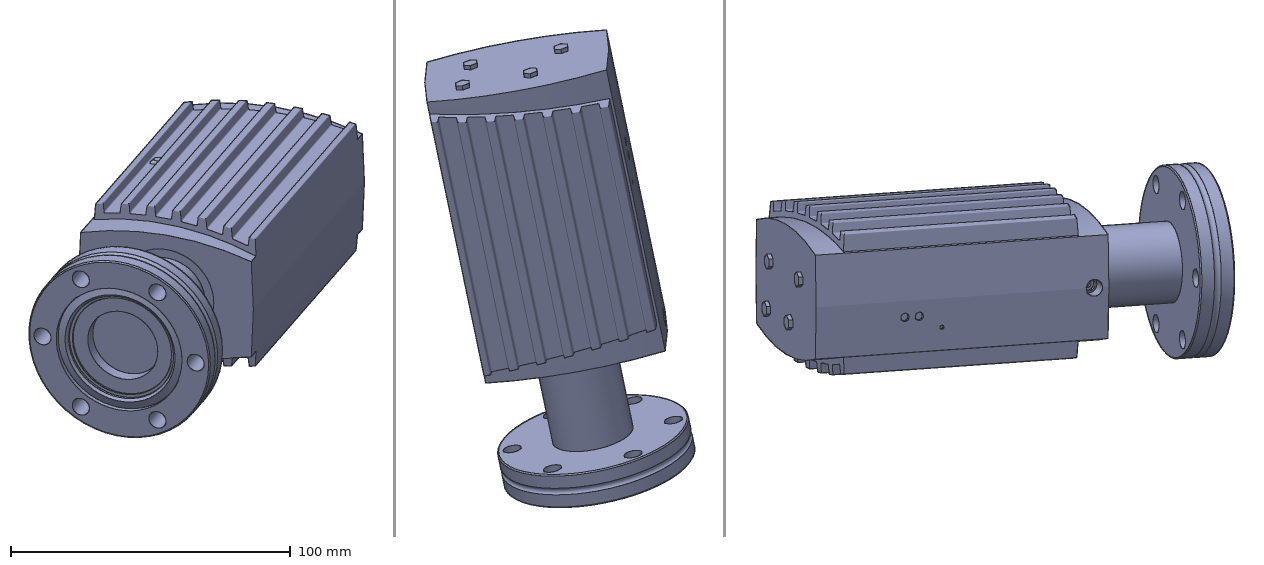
import cadquery as cq
import math


FLANGE_RADIUS = 34.8
FLANGE_THICKNESS = 13.0
FLANGE_EDGE = 0.5
GRIP_GROOVE_WIDTH = 2.5
GRIP_GROOVE_DEPTH = 0.6
BOLT_COUNT = 6
BOLT_HOLE_DIAMETER = 6.5
BOLT_CIRCLE_RADIUS = 29.3
GASKET_RADIUS = 24.1
GASKET_DEPTH = 1.9
KNIFE_RADIUS = 21.0
KNIFE_DEPTH = 1.0
KNIFE_FOOT_RADIUS = 20.1
KNIFE_FOOT_DEPTH = 1.9
STEP_DEPTH = 2.9
SEAT_RADIUS = 19.0
SEAT_DEPTH = 3.7
BORE_RADIUS = 13.4
BORE_DEPTH = 8.6
TUBE_RADIUS = 14.7

COLLAR_RADIUS = 18.0
COLLAR_DEPTH = 6.4

HOUSING_FRONT = 47.4
HOUSING_LENGTH = 110.5
HOUSING_MIDDLE = HOUSING_FRONT + HOUSING_LENGTH / 2
HOUSING_CENTRE_X = -0.3
HALF_WIDTH_MIDDLE = 33.5
HALF_WIDTH_CORNER = 32.7
CORNER_HEIGHT = 19.0
CROWN_HEIGHT = 23.8
CROWN_RISE = CROWN_HEIGHT - CORNER_HEIGHT
CROWN_RADIUS = (HALF_WIDTH_CORNER**2 + CROWN_RISE**2) / (2 * CROWN_RISE)
CROWN_CENTRE_Z = CROWN_HEIGHT - CROWN_RADIUS

FIN_COUNT = 7
FIN_PITCH = 10.2
FIN_CENTRE_X = 0.5
FIN_TOP_WIDTH = 3.0
CHANNEL_DRAFT = 0.5
FIN_HEIGHT = 5.9
FLOOR_HEIGHT = 2.0
CHANNEL_FILLET = 0.5
FIN_TOP_FILLET = 0.3
FIN_LEFT = -32.0
FIN_RIGHT = 32.4
FIN_PAD_DRAFT = 4
FIN_HALF_LENGTH_LEFT = 44.3
FIN_HALF_LENGTH_RIGHT = 50.5

BOSS_X = -24.7
BOSS_DIAMETER = 5.6
BOSS_TOP_DIAMETER = 2.9
BOSS_TOP_Z = 24.2
BOSS_CONE_HEIGHT = 1.5

SIDE_HOLE_Y = 52.8
SIDE_HOLE_STEPS = ((6.0, 6.4), (4.8, 8), (2.9, 9.5))
LAMP_HOLE_DIAMETER = 3.0
LAMP_HOLE_YS = (118.8, 124.3)
LAMP_HOLE_Z = -5.9
RESET_HOLE_DIAMETER = 1.5
RESET_HOLE_Y = 110.2
RESET_HOLE_Z = -10.5
SMALL_HOLE_DEPTH = 1.6

POST_ACROSS_FLATS = 4.8
POST_HEIGHT = 1.6
POST_PAIRS = ((-0.2, 33.0, 6.9), (6.9, 24.7, -11.0))


def make_flange_tube():
    """Knife-edge flange and its solid tube, turned as one piece, with the bolt holes cut."""
    groove_start = (FLANGE_THICKNESS - GRIP_GROOVE_WIDTH) / 2
    groove_end = groove_start + GRIP_GROOVE_WIDTH
    turned = (
        cq.Workplane("XY")
        .moveTo(0, BORE_DEPTH)
        .lineTo(BORE_RADIUS, BORE_DEPTH)
        .lineTo(BORE_RADIUS, SEAT_DEPTH)
        .lineTo(SEAT_RADIUS, SEAT_DEPTH)
        .lineTo(SEAT_RADIUS, STEP_DEPTH)
        .lineTo(KNIFE_FOOT_RADIUS, STEP_DEPTH)
        .lineTo(KNIFE_FOOT_RADIUS, KNIFE_FOOT_DEPTH)
        .lineTo(KNIFE_RADIUS, KNIFE_DEPTH)
        .lineTo(GASKET_RADIUS, GASKET_DEPTH)
        .lineTo(GASKET_RADIUS, 0)
        .lineTo(FLANGE_RADIUS - FLANGE_EDGE, 0)
        .lineTo(FLANGE_RADIUS, FLANGE_EDGE)
        .lineTo(FLANGE_RADIUS, groove_start)
        .threePointArc(
            (FLANGE_RADIUS - GRIP_GROOVE_DEPTH, FLANGE_THICKNESS / 2),
            (FLANGE_RADIUS, groove_end),
        )
        .lineTo(FLANGE_RADIUS, FLANGE_THICKNESS - FLANGE_EDGE)
        .lineTo(FLANGE_RADIUS - FLANGE_EDGE, FLANGE_THICKNESS)
        .lineTo(TUBE_RADIUS, FLANGE_THICKNESS)
        .lineTo(TUBE_RADIUS, HOUSING_FRONT + COLLAR_DEPTH)
        .lineTo(0, HOUSING_FRONT + COLLAR_DEPTH)
        .close()
        .revolve(360, (0, 0, 0), (0, 1, 0))
    )
    bolt_holes = (
        cq.Workplane("XZ")
        .polarArray(BOLT_CIRCLE_RADIUS, 0, 360, BOLT_COUNT)
        .circle(BOLT_HOLE_DIAMETER / 2)
        .extrude(-FLANGE_THICKNESS)
    )
    return turned.cut(bolt_holes)


def make_collar():
    """Ring around the tube, flush with the housing front."""
    return (
        cq.Workplane("XZ", origin=(0, HOUSING_FRONT, 0))
        .circle(COLLAR_RADIUS)
        .circle(TUBE_RADIUS)
        .extrude(-COLLAR_DEPTH)
    )


def make_shell():
    """Housing block: drafted sides, and a crowned top and bottom."""
    left = HOUSING_CENTRE_X - HALF_WIDTH_CORNER
    right = HOUSING_CENTRE_X + HALF_WIDTH_CORNER
    return (
        cq.Workplane("XZ", origin=(0, HOUSING_FRONT, 0))
        .moveTo(HOUSING_CENTRE_X - HALF_WIDTH_MIDDLE, 0)
        .lineTo(left, CORNER_HEIGHT)
        .threePointArc((HOUSING_CENTRE_X, CROWN_HEIGHT), (right, CORNER_HEIGHT))
        .lineTo(HOUSING_CENTRE_X + HALF_WIDTH_MIDDLE, 0)
        .lineTo(right, -CORNER_HEIGHT)
        .threePointArc((HOUSING_CENTRE_X, -CROWN_HEIGHT), (left, -CORNER_HEIGHT))
        .close()
        .extrude(-HOUSING_LENGTH)
    )


def crown_cylinder(height_above_crown):
    """Cylinder concentric with the crown, longer than the fins at both ends."""
    return (
        cq.Workplane("XZ", origin=(0, HOUSING_FRONT, 0))
        .center(HOUSING_CENTRE_X, CROWN_CENTRE_Z)
        .circle(CROWN_RADIUS + height_above_crown)
        .extrude(-HOUSING_LENGTH)
    )


def make_channel(x):
    """Gap between two fins: drafted walls, and rounded corners at a floor parallel to the crown."""
    offset = x - HOUSING_CENTRE_X
    fin_top_z = CROWN_CENTRE_Z + math.sqrt((CROWN_RADIUS + FIN_HEIGHT) ** 2 - offset**2)
    depth = FIN_HEIGHT - FLOOR_HEIGHT
    floor_z = fin_top_z - depth
    half_gap = (FIN_PITCH - FIN_TOP_WIDTH) / 2
    half_floor = half_gap - CHANNEL_DRAFT
    floor_drop = half_floor * offset / CROWN_RADIUS
    open_z = fin_top_z + depth
    half_open = half_gap + CHANNEL_DRAFT
    section = (
        cq.Workplane("XZ", origin=(0, HOUSING_FRONT, 0))
        .moveTo(x - half_open, open_z)
        .lineTo(x - half_floor, floor_z + floor_drop)
        .lineTo(x + half_floor, floor_z - floor_drop)
        .lineTo(x + half_open, open_z)
        .close()
        .extrude(-HOUSING_LENGTH)
    )
    floor_edges = cq.selectors.BoxSelector(
        (x - half_gap, HOUSING_FRONT, floor_z - depth),
        (x + half_gap, HOUSING_FRONT + HOUSING_LENGTH, fin_top_z),
    )
    return section.edges("|Y").edges(floor_edges).fillet(CHANNEL_FILLET)


def is_fin_top(face):
    """True for a curved face that lies on the outer fin cylinder."""
    centre = face.Center()
    distance = math.hypot(centre.x - HOUSING_CENTRE_X, centre.z - CROWN_CENTRE_Z)
    return math.isclose(distance, CROWN_RADIUS + FIN_HEIGHT, abs_tol=FIN_TOP_FILLET)


def make_fins():
    """Finned pad on the crown; its two ends slant in plan and its outer walls are drafted."""
    pad = (
        cq.Workplane("XY", origin=(0, HOUSING_MIDDLE, CORNER_HEIGHT))
        .polyline([
            (FIN_LEFT, -FIN_HALF_LENGTH_LEFT),
            (FIN_RIGHT, -FIN_HALF_LENGTH_RIGHT),
            (FIN_RIGHT, FIN_HALF_LENGTH_RIGHT),
            (FIN_LEFT, FIN_HALF_LENGTH_LEFT),
        ])
        .close()
        .extrude(CROWN_RISE + FIN_HEIGHT, taper=FIN_PAD_DRAFT)
    )
    fins = pad.intersect(crown_cylinder(FIN_HEIGHT))
    first_x = FIN_CENTRE_X - FIN_PITCH * (FIN_COUNT - 2) / 2
    for index in range(FIN_COUNT - 1):
        fins = fins.cut(make_channel(first_x + index * FIN_PITCH))
    fin_tops = fins.faces("%CYLINDER").filter(is_fin_top)
    return fin_tops.edges().fillet(FIN_TOP_FILLET)


def make_boss():
    """Round post with a conical head, standing on the channel floor."""
    radius = BOSS_DIAMETER / 2
    return (
        cq.Workplane("XZ")
        .moveTo(0, 0)
        .lineTo(radius, 0)
        .lineTo(radius, BOSS_TOP_Z - BOSS_CONE_HEIGHT)
        .lineTo(BOSS_TOP_DIAMETER / 2, BOSS_TOP_Z)
        .lineTo(0, BOSS_TOP_Z)
        .close()
        .revolve(360, (0, 0, 0), (0, 1, 0))
        .translate((BOSS_X, HOUSING_MIDDLE, 0))
    )


def side_hole(y, z, diameter, depth):
    """Blind hole into the -X side."""
    left = HOUSING_CENTRE_X - HALF_WIDTH_MIDDLE
    return cq.Workplane("YZ", origin=(left, y, z)).circle(diameter / 2).extrude(depth)


def make_posts():
    """Hexagonal posts with two flats square to X."""
    rear = HOUSING_FRONT + HOUSING_LENGTH
    across_corners = POST_ACROSS_FLATS / math.cos(math.pi / 6)
    posts = cq.Workplane("XY")
    for middle_x, spacing, z in POST_PAIRS:
        for x in (middle_x - spacing / 2, middle_x + spacing / 2):
            post = (
                cq.Workplane("XZ", origin=(x, rear, z))
                .transformed(rotate=(0, 0, 90))
                .polygon(6, across_corners)
                .extrude(-POST_HEIGHT)
            )
            posts = posts.union(post)
    return posts


def make_housing():
    fins = make_fins()
    body = make_shell().union(fins).union(fins.mirror("XY"))
    body = body.union(make_boss()).union(make_posts())
    for diameter, depth in SIDE_HOLE_STEPS:
        body = body.cut(side_hole(SIDE_HOLE_Y, 0, diameter, depth))
    for y in LAMP_HOLE_YS:
        body = body.cut(side_hole(y, LAMP_HOLE_Z, LAMP_HOLE_DIAMETER, SMALL_HOLE_DEPTH))
    body = body.cut(side_hole(RESET_HOLE_Y, RESET_HOLE_Z, RESET_HOLE_DIAMETER, SMALL_HOLE_DEPTH))
    collar_hole = (
        cq.Workplane("XZ", origin=(0, HOUSING_FRONT, 0)).circle(COLLAR_RADIUS).extrude(-COLLAR_DEPTH)
    )
    return body.cut(collar_hole)


flange_tube = make_flange_tube()
collar = make_collar()
housing = make_housing()
result = cq.Compound.makeCompound([housing.val(), collar.val(), flange_tube.val()])